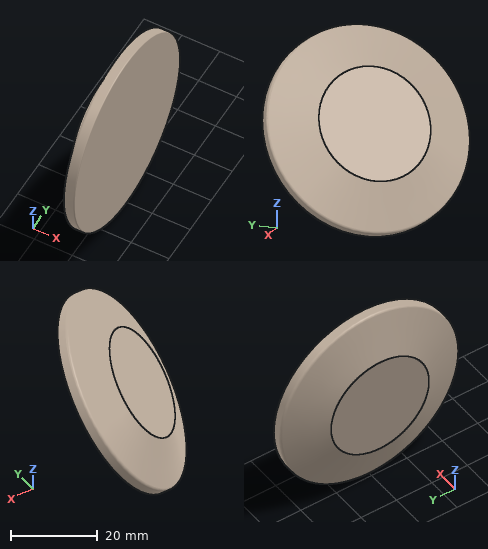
import cadquery as cq

outer_diameter = 50.5
face_diameter = 27.65
thickness = 7.0
rim_width = 2.85
front_fillet = 0.75
back_fillet = 0.3

outer_radius = outer_diameter / 2
face_radius = face_diameter / 2
cone_height = thickness - rim_width

half_section = (
    cq.Workplane("XY")
    .moveTo(0, 0)
    .lineTo(0, face_radius)
    .lineTo(cone_height, outer_radius)
    .lineTo(thickness, outer_radius)
    .lineTo(thickness, 0)
    .close()
)
disc = half_section.revolve(360, (0, 0, 0), (1, 0, 0))


def round_rim(body, x_position, radius):
    """Round the full circular rim edge lying at the given X position."""
    edge_picker = cq.selectors.BoxSelector(
        (x_position - radius / 2, -outer_diameter, -outer_diameter),
        (x_position + radius / 2, outer_diameter, outer_diameter),
        boundingbox=True,
    )
    return body.edges(edge_picker).fillet(radius)


disc = round_rim(disc, cone_height, front_fillet)
result = round_rim(disc, thickness, back_fillet)